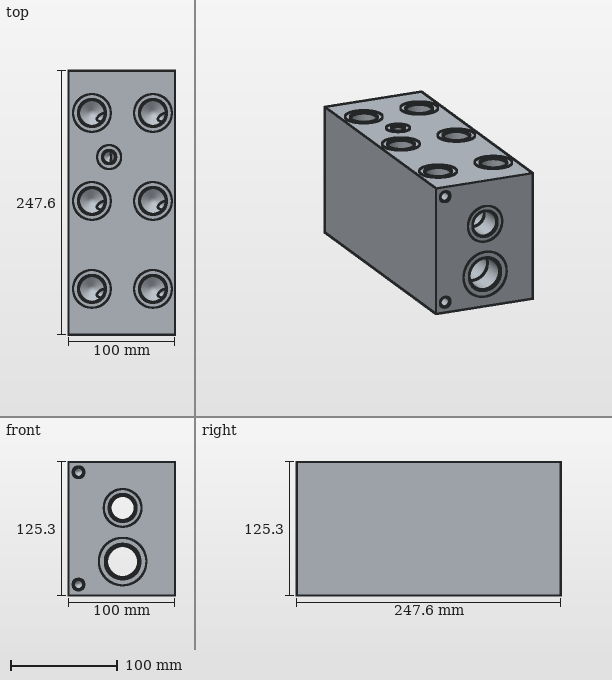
import cadquery as cq
import math

block_x = 100.0
block_y = 247.6
block_z = 125.3

drill_point_angle = 118.0

spot_depth = 0.5

main_bore_x = 50.8
upper_bore_z = 82.2
upper_spot_diameter = 35.5
upper_mouth_diameter = 26.3
upper_thread_diameter = 24.3
upper_bore_diameter = 22.8
lower_bore_z = 32.0
lower_spot_diameter = 44.5
lower_mouth_diameter = 33.5
lower_thread_diameter = 30.7
lower_bore_diameter = 29.2
main_thread_depth = 27.2

port_columns_x = (22.0, 79.2)
port_rows = 3
port_first_y = 43.0
port_pitch_y = 82.5
port_spot_diameter = 35.5
port_mouth_diameter = 26.3
port_bore_diameter = 24.3
port_depth = 42.0

passage_diameter = 8.5
passage_offset_y = -4.0
passage_rise = 8.2
passage_reach = 18.5

gauge_x = 38.1
gauge_y = 166.7
gauge_spot_diameter = 22.5
gauge_mouth_diameter = 13.4
gauge_bore_diameter = 11.5
gauge_depth = 43.3

mount_x = 9.5
mount_heights = (10.5, 115.7)
mount_mouth_diameter = 11.0
mount_bore_diameter = 9.0
mount_depth = 19.8


def point_height(diameter):
    """Height of the drill cone at the bottom of a hole."""
    return diameter / 2 / math.tan(math.radians(drill_point_angle / 2))


def drilled_hole(position, direction, mouth_diameter, bore_diameter, depth):
    """Blind hole with a 45 degree lead-in chamfer and a conical bottom."""
    mouth_radius = mouth_diameter / 2
    bore_radius = bore_diameter / 2
    chamfer = mouth_radius - bore_radius
    half_profile = (
        cq.Workplane("XZ")
        .polyline([
            (0, 0),
            (mouth_radius, 0),
            (bore_radius, -chamfer),
            (bore_radius, -depth),
            (0, -depth - point_height(bore_diameter)),
        ])
        .close()
    )
    tool = half_profile.revolve(360, (0, 0), (0, 1)).val()
    face_plane = cq.Plane(origin=position, xDir=(1, 0, 0), normal=direction)
    return tool.moved(cq.Location(face_plane))


def cylinder(position, direction, diameter, length):
    """Solid cylinder running from a position along a direction."""
    return cq.Solid.makeCylinder(diameter / 2, length, cq.Vector(*position), cq.Vector(*direction))


def top_port(x, y, spot_diameter, mouth_diameter, bore_diameter, depth):
    """Spot-faced drilled port entering from the top face."""
    floor = (x, y, block_z - spot_depth)
    spot = cylinder(floor, (0, 0, 1), spot_diameter, spot_depth)
    hole = drilled_hole(floor, (0, 0, 1), mouth_diameter, bore_diameter, depth)
    return [spot, hole]


def side_passage(x, y):
    """Cross drilling that starts at a top port's axis, just above its cone tip."""
    tip_z = block_z - spot_depth - port_depth - point_height(port_bore_diameter)
    start = (x, y + passage_offset_y, tip_z + passage_rise)
    return cylinder(start, (1, 0, 0), passage_diameter, passage_reach)


def main_bore(z, spot_diameter, mouth_diameter, thread_diameter, bore_diameter):
    """Full-length bore with a spot-faced, threaded mouth in the front face."""
    into_block = (0, 1, 0)
    chamfer = (mouth_diameter - thread_diameter) / 2
    spot = cylinder((main_bore_x, 0, z), into_block, spot_diameter, spot_depth)
    mouth = cq.Solid.makeCone(
        mouth_diameter / 2,
        thread_diameter / 2,
        chamfer,
        cq.Vector(main_bore_x, spot_depth, z),
        cq.Vector(*into_block),
    )
    thread = cylinder((main_bore_x, 0, z), into_block, thread_diameter, main_thread_depth)
    bore = cylinder((main_bore_x, 0, z), into_block, bore_diameter, block_y)
    return [spot, mouth, thread, bore]


cutters = []

cutters += main_bore(
    upper_bore_z, upper_spot_diameter, upper_mouth_diameter, upper_thread_diameter, upper_bore_diameter
)
cutters += main_bore(
    lower_bore_z, lower_spot_diameter, lower_mouth_diameter, lower_thread_diameter, lower_bore_diameter
)

for port_x in port_columns_x:
    for row in range(port_rows):
        port_y = port_first_y + row * port_pitch_y
        cutters += top_port(
            port_x, port_y, port_spot_diameter, port_mouth_diameter, port_bore_diameter, port_depth
        )
        cutters.append(side_passage(port_x, port_y))

cutters += top_port(
    gauge_x, gauge_y, gauge_spot_diameter, gauge_mouth_diameter, gauge_bore_diameter, gauge_depth
)

for mount_z in mount_heights:
    mount_position = (mount_x, 0, mount_z)
    cutters.append(
        drilled_hole(mount_position, (0, -1, 0), mount_mouth_diameter, mount_bore_diameter, mount_depth)
    )

block = cq.Workplane("XY").box(block_x, block_y, block_z, centered=False)
for cutter in cutters:
    block = block.cut(cq.Workplane(cutter))

result = block